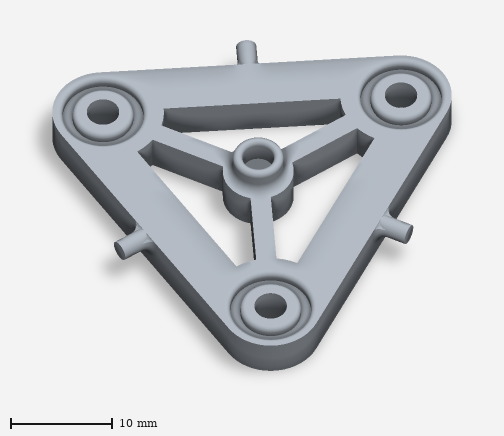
import cadquery as cq
import math

ARM_COUNT = 3
ARM_ANGLE = 360 / ARM_COUNT
FIRST_CORNER_ANGLE = 180
CORNER_DISTANCE = 17.0
CORNER_RADIUS = 5.0
PLATE_HEIGHT = 4.0
SIDE_DISTANCE = CORNER_DISTANCE * math.cos(math.radians(ARM_ANGLE / 2))
OUTER_WALL_DISTANCE = SIDE_DISTANCE + CORNER_RADIUS

CORNER_PAD_RADIUS = 6.0
SPOKE_WIDTH = 2.0

CORNER_HOLE_DIAMETER = 3.2
POST_DIAMETER = 6.0
GROOVE_DIAMETER = 8.0
GROOVE_DEPTH = 1.0
EDGE_ROUND = 0.5

HUB_DIAMETER = 7.0
STUD_DIAMETER = 5.0
STUD_HEIGHT = 2.5
STUD_HOLE_DIAMETER = 3.1
STUD_TOP = PLATE_HEIGHT + STUD_HEIGHT
STUD_WALL = (STUD_DIAMETER - STUD_HOLE_DIAMETER) / 2
BORE_ROUND = STUD_WALL - EDGE_ROUND
HUB_FILLET = (HUB_DIAMETER - STUD_DIAMETER) / 2

PIN_DIAMETER = 2.0
PIN_LENGTH = 3.0
PIN_FILLET = 1.0
PIN_AXIS_HEIGHT = PLATE_HEIGHT - PIN_DIAMETER / 2


def corner_points():
    """Positions of the corner hole axes."""
    angles = [math.radians(FIRST_CORNER_ANGLE + i * ARM_ANGLE) for i in range(ARM_COUNT)]
    return [(CORNER_DISTANCE * math.cos(a), CORNER_DISTANCE * math.sin(a)) for a in angles]


def around_centre(body, start_angle=0):
    """Union of copies of a body turned about the Z axis."""
    copies = cq.Workplane("XY")
    for i in range(ARM_COUNT):
        copies = copies.union(body.rotate((0, 0, 0), (0, 0, 1), start_angle + i * ARM_ANGLE))
    return copies


def discs(diameter, height, base=0):
    """Equal cylinders on all corner axes."""
    return (
        cq.Workplane("XY", origin=(0, 0, base))
        .pushPoints(corner_points())
        .circle(diameter / 2)
        .extrude(height)
    )


def triangle(height):
    """Triangular prism whose edges stand on the corner axes."""
    return cq.Workplane("XY").polyline(corner_points()).close().extrude(height)


def make_frame():
    """Rounded triangular plate with three openings separated by spokes and a hub."""
    plate = (
        cq.Workplane("XY").polyline(corner_points()).close()
        .offset2D(CORNER_RADIUS, "arc").extrude(PLATE_HEIGHT)
    )
    spoke = cq.Workplane("XY").box(
        CORNER_DISTANCE, SPOKE_WIDTH, PLATE_HEIGHT, centered=(False, True, False)
    )
    hub = cq.Workplane("XY").circle(HUB_DIAMETER / 2).extrude(PLATE_HEIGHT)
    openings = (
        triangle(PLATE_HEIGHT)
        .cut(discs(2 * CORNER_PAD_RADIUS, PLATE_HEIGHT))
        .cut(around_centre(spoke, FIRST_CORNER_ANGLE))
        .cut(hub)
    )
    return plate.cut(openings)


def make_stud():
    """Hollow stud on the hub, with a flared foot, a fully rounded rim and a blind hole."""
    hub_radius = HUB_DIAMETER / 2
    stud_radius = STUD_DIAMETER / 2
    hole_radius = STUD_HOLE_DIAMETER / 2
    flare_offset = HUB_FILLET * math.sqrt(0.5)
    crest_radius = stud_radius - EDGE_ROUND
    outer_offset = EDGE_ROUND * math.sqrt(0.5)
    inner_offset = BORE_ROUND * math.sqrt(0.5)
    return (
        cq.Workplane("XZ")
        .moveTo(0, PLATE_HEIGHT)
        .lineTo(hub_radius, PLATE_HEIGHT)
        .threePointArc(
            (hub_radius - flare_offset, PLATE_HEIGHT + HUB_FILLET - flare_offset),
            (stud_radius, PLATE_HEIGHT + HUB_FILLET),
        )
        .lineTo(stud_radius, STUD_TOP - EDGE_ROUND)
        .threePointArc(
            (crest_radius + outer_offset, STUD_TOP - EDGE_ROUND + outer_offset),
            (crest_radius, STUD_TOP),
        )
        .threePointArc(
            (crest_radius - inner_offset, STUD_TOP - BORE_ROUND + inner_offset),
            (hole_radius, STUD_TOP - BORE_ROUND),
        )
        .lineTo(hole_radius, PLATE_HEIGHT)
        .lineTo(0, PLATE_HEIGHT)
        .close()
        .revolve(360, (0, 0, 0), (0, 1, 0))
    )


def cut_ring_grooves(body):
    """Ring groove around each corner post, with its upper edges rounded."""
    floor = PLATE_HEIGHT - GROOVE_DEPTH
    groove = discs(GROOVE_DIAMETER, GROOVE_DEPTH, floor).cut(discs(POST_DIAMETER, GROOVE_DEPTH, floor))
    grooved = body.cut(groove)
    reach = GROOVE_DIAMETER / 2 + EDGE_ROUND
    for x, y in corner_points():
        rim_box = cq.selectors.BoxSelector(
            (x - reach, y - reach, PLATE_HEIGHT - EDGE_ROUND),
            (x + reach, y + reach, PLATE_HEIGHT + EDGE_ROUND),
            boundingbox=True,
        )
        grooved = grooved.edges(rim_box).fillet(EDGE_ROUND)
    return grooved


def make_pin():
    """Pin on the +X side, tangent to the top face, with a flared root that stays below that face."""
    radius = PIN_DIAMETER / 2
    shaft = (
        cq.Workplane("YZ", origin=(SIDE_DISTANCE + CORNER_RADIUS / 2, 0, PIN_AXIS_HEIGHT))
        .circle(radius)
        .extrude(CORNER_RADIUS / 2 + PIN_LENGTH)
    )

    end_angle = math.asin((PLATE_HEIGHT - PIN_AXIS_HEIGHT) / (radius + PIN_FILLET))
    end_plane = cq.Plane(
        origin=(OUTER_WALL_DISTANCE, 0, PIN_AXIS_HEIGHT),
        xDir=(1, 0, 0),
        normal=(0, -math.sin(end_angle), math.cos(end_angle)),
    )
    flare_offset = PIN_FILLET * (1 - math.sqrt(0.5))
    flare_profile = (
        cq.Workplane(end_plane)
        .lineTo(0, radius + PIN_FILLET)
        .threePointArc((flare_offset, radius + flare_offset), (PIN_FILLET, radius))
        .lineTo(PIN_FILLET, 0)
        .close()
    )
    flare_sweep = 180 + 2 * math.degrees(end_angle)
    flare_wire = flare_profile.val()
    flare = flare_profile.revolve(flare_sweep, (0, 0, 0), (-1, 0, 0))

    tip = cq.Vertex.makeVertex(OUTER_WALL_DISTANCE, 0, PLATE_HEIGHT)
    taper = cq.Workplane(cq.occ_impl.shapes.loft(flare_wire, tip, cap=True, ruled=True))
    return shaft.union(flare).union(taper).union(taper.mirror("XZ"))


frame = cut_ring_grooves(make_frame())
drilled_frame = frame.cut(discs(CORNER_HOLE_DIAMETER, PLATE_HEIGHT))
result = drilled_frame.union(make_stud()).union(around_centre(make_pin()))